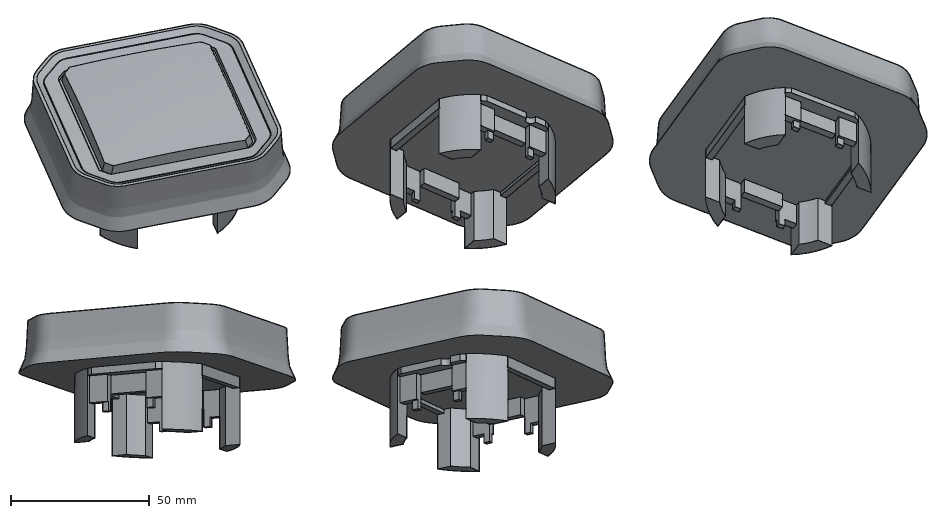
import cadquery as cq
import math

rim_z = 18.6
wall_levels = [
    (0.0, 42.55, 12.85),
    (4.6, 40.4, 11.2),
    (4.85, 40.3, 11.15),
    (8.5, 39.8, 10.7),
    (rim_z, 39.2, 10.4),
]
straight_half = 23.3
lip_half = 38.0
lip_corner_r = 8.9
lip_foot_half = 35.6
lip_foot_corner_r = 6.2
lip_foot_z = 17.2
pocket_floor_z = 12.8

dish_half = 35.2
dish_straight = 23.8
dish_corner_r = 5.45
dish_inner_half = 29.6
dish_inner_z = 16.7
dish_inner_straight = 25.45
dish_inner_corner_r = 1.8
recess_half = 29.2
recess_floor_z = 15.3

pad_foot_x, pad_foot_y = 28.6, 28.25
pad_top_x, pad_top_y = 28.0, 27.0
pad_chamfer = 2.6
pad_top_z = 20.9
dome_radius = 417.0
pad_flange_z = 15.75

base_radius = 29.7
base_flat_x = 26.7
base_flat_y = 25.6
base_thickness = 2.55
notch_y = -6.6
notch_radius = 2.05
leg_outer_radius = 29.9
leg_inner_radius = 25.0
leg_edge = 15.0
leg_length = 24.7
skirt_depth = 4.0
wall_thickness = 2.55
tab_half_width = 7.75
tab_depth = 9.4
wing_x = 21.7
wing_depth = 12.4
prong_width = 2.5
prong_thickness = 1.7
prong_depth = 15.8


def quarter_turned(point, turns):
    """Point turned clockwise about the origin by a number of quarter turns."""
    x, y = point
    for _ in range(turns):
        x, y = y, -x
    return x, y


def rounded_octagon(half, z, straight, radius):
    """Square of the given half width whose corners are a 45 degree cut blended by two arcs."""
    run = radius * math.sin(math.pi / 4)
    mid_run = radius * math.sin(math.pi / 8)
    drop = radius * (1 - math.cos(math.pi / 4))
    mid_drop = radius * (1 - math.cos(math.pi / 8))
    side_end = (straight, half)
    arc_mid = (straight + mid_run, half - mid_drop)
    cut_start = (straight + run, half - drop)
    outline = cq.Workplane("XY", origin=(0, 0, z)).moveTo(-straight, half)
    for turns in range(4):
        outline = (
            outline.lineTo(*quarter_turned(side_end, turns))
            .threePointArc(quarter_turned(arc_mid, turns), quarter_turned(cut_start, turns))
            .lineTo(*quarter_turned(cut_start[::-1], turns))
            .threePointArc(
                quarter_turned(arc_mid[::-1], turns), quarter_turned(side_end[::-1], turns)
            )
        )
    return outline.close().wire().val()


def bezel_outline(half, z, radius):
    return rounded_octagon(half, z, straight_half, radius)


def dish_outline(z):
    return rounded_octagon(dish_half, z, dish_straight, dish_corner_r)


def recess_outline(half, z):
    return rounded_octagon(half, z, dish_inner_straight, dish_inner_corner_r)


def ruled(*wires):
    return cq.Workplane("XY").newObject([cq.Solid.makeLoft(list(wires), True)])


def block(x0, x1, y0, y1, z0, z1):
    return cq.Workplane("XY").box(x1 - x0, y1 - y0, z1 - z0, centered=False).translate((x0, y0, z0))


def dish_blank():
    """Plate filling the bezel pocket, before its top is shaped."""
    return ruled(dish_outline(pocket_floor_z), dish_outline(lip_foot_z))


def make_bezel():
    body = ruled(*[bezel_outline(half, z, radius) for z, half, radius in wall_levels])
    lip_slope = ruled(
        bezel_outline(lip_foot_half, lip_foot_z, lip_foot_corner_r),
        bezel_outline(lip_half, rim_z, lip_corner_r),
    )
    return body.cut(lip_slope).cut(dish_blank())


def make_dish():
    sloped_floor = ruled(recess_outline(dish_inner_half, dish_inner_z), dish_outline(lip_foot_z))
    recess = ruled(
        recess_outline(recess_half, recess_floor_z),
        recess_outline(recess_half, pad_flange_z),
        recess_outline(dish_inner_half, dish_inner_z),
    )
    return dish_blank().cut(sloped_floor).cut(recess)


def pad_outline(half_x, half_y, z):
    cut_x = half_x - pad_chamfer
    cut_y = half_y - pad_chamfer
    points = [
        (cut_x, half_y), (half_x, cut_y), (half_x, -cut_y), (cut_x, -half_y),
        (-cut_x, -half_y), (-half_x, -cut_y), (-half_x, cut_y), (-cut_x, half_y),
    ]
    return cq.Workplane("XY", origin=(0, 0, z)).polyline(points).close().wire().val()


def make_pad():
    body = ruled(
        pad_outline(pad_foot_x, pad_foot_y, pad_flange_z),
        pad_outline(pad_top_x, pad_top_y, pad_top_z),
    )
    dome = cq.Workplane("XY").sphere(dome_radius).translate((0, 0, pad_top_z - dome_radius))
    flange = ruled(
        recess_outline(recess_half, recess_floor_z), recess_outline(recess_half, pad_flange_z)
    )
    return body.intersect(dome).union(flange)


def make_plate():
    disc = cq.Workplane("XY").circle(base_radius).extrude(-base_thickness)
    flats = block(-base_flat_x, base_flat_x, -base_flat_y, base_flat_y, -base_thickness, 0)
    notch = (
        cq.Workplane("XY").center(-base_flat_x, notch_y).circle(notch_radius).extrude(-base_thickness)
    )
    return disc.intersect(flats).cut(notch)


def make_leg():
    ring = cq.Workplane("XY").circle(leg_outer_radius).circle(leg_inner_radius).extrude(-leg_length)
    corner = block(leg_edge, leg_outer_radius, leg_edge, leg_outer_radius, -leg_length, 0)
    return ring.intersect(corner)


def make_skirt():
    return block(-leg_edge, leg_edge, base_flat_y - wall_thickness, base_flat_y, -skirt_depth, 0)


def make_side_wall():
    """Central tab flanked by two deeper wings, each ending in a prong."""
    wall = block(wing_x - wall_thickness, wing_x, -tab_half_width, tab_half_width, -tab_depth, 0)
    wing = block(wing_x, wing_x + wall_thickness, tab_half_width, leg_edge, -wing_depth, 0)
    prong_end_y = tab_half_width + prong_width
    prong = block(wing_x, wing_x + prong_thickness, tab_half_width, prong_end_y, -prong_depth, 0)
    wing = wing.union(prong)
    return [wall, wing, wing.mirror("XZ")]


def make_base():
    base = make_plate()
    for quarter in range(4):
        base = base.union(make_leg().rotate((0, 0, 0), (0, 0, 1), 90 * quarter))
    for half_turn in (0, 180):
        for feature in [make_skirt(), *make_side_wall()]:
            base = base.union(feature.rotate((0, 0, 0), (0, 0, 1), half_turn))
    return base


bezel = make_bezel()
dish = make_dish()
pad = make_pad()
base = make_base()

result = cq.Compound.makeCompound([body.solids().val() for body in (bezel, dish, pad, base)])